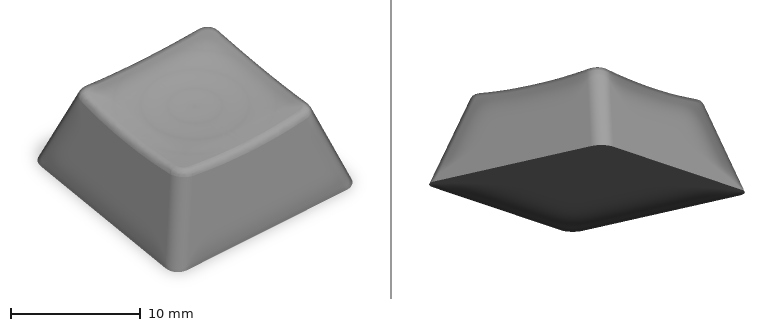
import cadquery as cq

base_side = 18.0
blank_height = 9.0
wall_taper = 18.0
corner_radius = 1.26
dish_radius = 45.0
dish_floor = 6.52
rim_radius = 0.65


def tapered_body():
    """Square truncated pyramid with rounded corners running up the walls."""
    pyramid = cq.Workplane("XY").rect(base_side, base_side).extrude(blank_height, taper=wall_taper)
    corner_edges = pyramid.edges("not(#Z)")
    return corner_edges.fillet(corner_radius)


def dish_cutter():
    """Sphere whose lowest point sits at the centre of the finger dish."""
    return cq.Workplane("XY").sphere(dish_radius).translate((0, 0, dish_floor + dish_radius))


dished_cap = tapered_body().cut(dish_cutter())

result = dished_cap.faces("%SPHERE").edges().fillet(rim_radius)